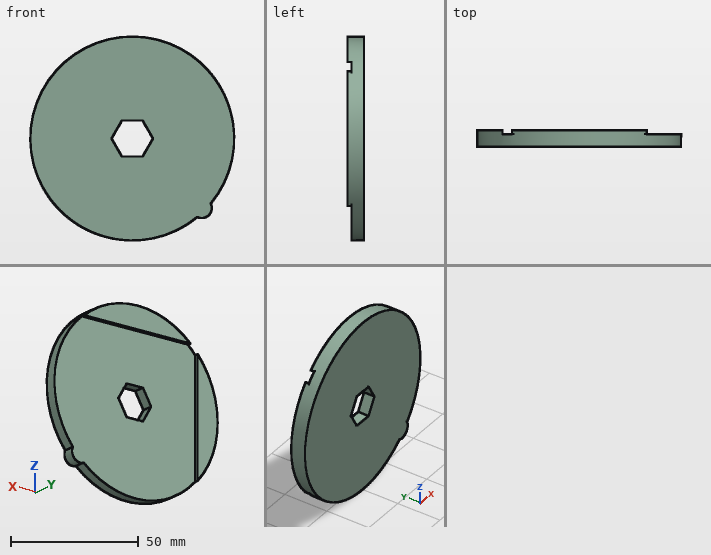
import cadquery as cq
import math

disk_diameter = 80.0
total_thickness = 6.6
recess_depth = 1.6
wall_offset = 30.0
hex_across_flats = 14.0
lobe_radius = 4.0
lobe_center_distance = 38.5
lobe_angle = -45.0

disk_radius = disk_diameter / 2
hex_across_corners = hex_across_flats / math.cos(math.pi / 6)
front_y = -total_thickness / 2
floor_y = front_y + total_thickness - recess_depth


def plane_at(y):
    """Sketch plane at height y along the disk axis: local x = X, local y = Z, normal = -Y."""
    return cq.Workplane("XZ", origin=(0, y, 0))


def make_disk():
    """Full-thickness round disk."""
    return plane_at(front_y).circle(disk_radius).extrude(-total_thickness)


def make_lobe():
    """Small round lobe that bulges out of the disk edge."""
    angle = math.radians(lobe_angle)
    lobe_x = lobe_center_distance * math.cos(angle)
    lobe_z = lobe_center_distance * math.sin(angle)
    return plane_at(front_y).center(lobe_x, lobe_z).circle(lobe_radius).extrude(-total_thickness)


def make_recess():
    """Square recess that leaves raised circular segments only beyond X = -wall_offset and Z = wall_offset."""
    side = wall_offset + disk_radius + lobe_radius
    return (
        plane_at(floor_y)
        .moveTo(-wall_offset, wall_offset)
        .rect(side, -side, centered=False)
        .extrude(-recess_depth)
    )


def make_hex_hole():
    """Hexagonal through hole with two corners on the X axis."""
    return plane_at(front_y).polygon(6, hex_across_corners).extrude(-total_thickness)


result = (
    make_disk()
    .union(make_lobe())
    .cut(make_recess())
    .cut(make_hex_hole())
)